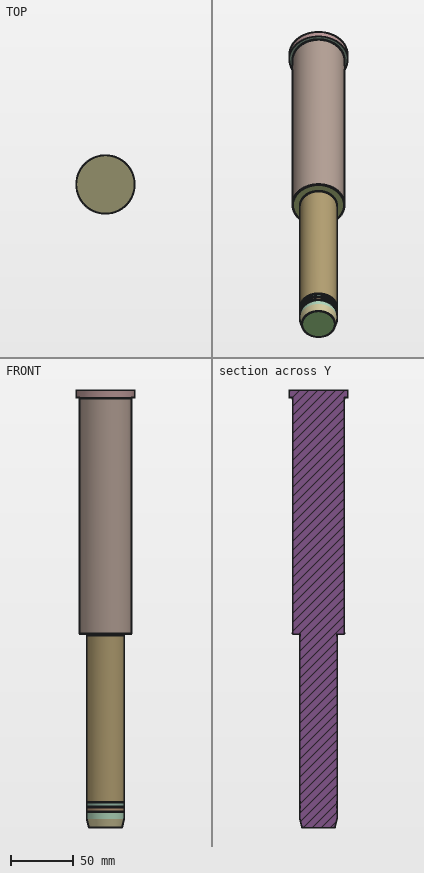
import cadquery as cq

total_length = 351.0
head_height = 6.0
barrel_height = 190.0

head_diameter = 47.0
barrel_diameter = 42.0
pin_diameter = 30.2
tip_diameter = 26.7

tip_height = 7.0
groove_width = 1.0
groove_depth = 0.5
groove_count = 3
groove_pitch = 4.0
lowest_groove_bottom = 12.3

relief_height = 1.0
relief_depth = 0.5
barrel_chamfer = 0.7
tip_chamfer = 0.5

head_bottom = total_length - head_height
barrel_bottom = head_bottom - barrel_height


def cylinder(diameter, bottom, top):
    """Vertical cylinder centred on the part axis."""
    return cq.Workplane("XY").workplane(offset=bottom).circle(diameter / 2).extrude(top - bottom)


def ring_groove(shaft_diameter, bottom, width, depth):
    """Ring of material to cut from the surface of a shaft."""
    outer = cylinder(shaft_diameter, bottom, bottom + width)
    return outer.cut(cylinder(shaft_diameter - 2 * depth, bottom, bottom + width))


head = cylinder(head_diameter, head_bottom, total_length)
barrel = cylinder(barrel_diameter, barrel_bottom, head_bottom).faces("<Z").chamfer(barrel_chamfer)
pin = cylinder(pin_diameter, tip_height, barrel_bottom)

tip = (
    cq.Workplane("XY")
    .circle(tip_diameter / 2)
    .workplane(offset=tip_height)
    .circle(pin_diameter / 2)
    .loft(ruled=True)
    .faces("<Z")
    .chamfer(tip_chamfer)
)

result = head.union(barrel).union(pin).union(tip)

for index in range(groove_count):
    groove_bottom = lowest_groove_bottom + index * groove_pitch
    result = result.cut(ring_groove(pin_diameter, groove_bottom, groove_width, groove_depth))

for shaft_diameter, shoulder in ((barrel_diameter, head_bottom), (pin_diameter, barrel_bottom)):
    relief_bottom = shoulder - relief_height
    result = result.cut(ring_groove(shaft_diameter, relief_bottom, relief_height, relief_depth))